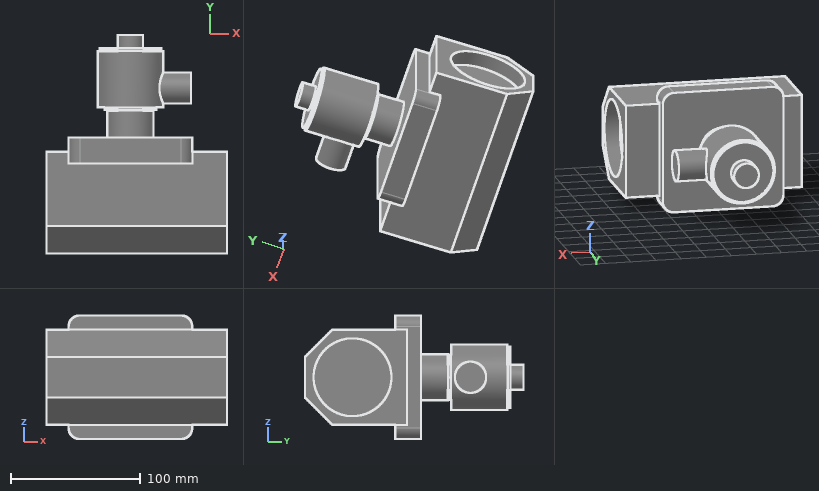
import cadquery as cq
import math

BLOCK_LENGTH = 140.0
BLOCK_DEPTH = 79.0
BLOCK_HEIGHT = 74.0
BLOCK_CHAMFER = 21.4
PORT_DIAMETER = 60.4
PORT_DEPTH = 12.0
PORT_Y = 37.0

ACTUATOR_X = -5.0
FLANGE_SIDE = 96.0
FLANGE_THICKNESS = 20.0
FLANGE_CORNER_RADIUS = 8.8
FLANGE_REAR_Y = 90.0

TOTAL_DEPTH = 169.5
NECK_DIAMETER = 36.0
NECK_REAR_Y = 110.9
STEM_DIAMETER = 19.7
CAP_DIAMETER = 48.0
CAP_THICKNESS = 1.7

END_GAP = 0.5
HEX_ACROSS_FLATS = 35.0
HEX_THICKNESS = 1.9
COIL_DIAMETER = 51.0
COIL_LENGTH = 43.7
CONNECTOR_DIAMETER = 24.2
CONNECTOR_REACH = 47.0
CONNECTOR_Y = 128.4

HEX_CORNER_DIAMETER = HEX_ACROSS_FLATS / math.cos(math.pi / 6)
HEX_FRONT_Y = NECK_REAR_Y + END_GAP
COIL_FRONT_Y = HEX_FRONT_Y + HEX_THICKNESS
COIL_REAR_Y = COIL_FRONT_Y + COIL_LENGTH
CAP_FRONT_Y = COIL_REAR_Y + END_GAP
CAP_REAR_Y = CAP_FRONT_Y + CAP_THICKNESS


def actuator_plane(y):
    """Plane across the actuator axis at y, with its normal along +Y."""
    return cq.Workplane(cq.Plane((ACTUATOR_X, y, 0), (1, 0, 0), (0, 1, 0)))


def cylinder_along_y(diameter, front_y, rear_y):
    return actuator_plane(front_y).circle(diameter / 2).extrude(rear_y - front_y)


def make_block():
    """Block with both long front edges chamfered and a blind port in each end."""
    block = (
        cq.Workplane("XY")
        .box(BLOCK_LENGTH, BLOCK_DEPTH, BLOCK_HEIGHT)
        .translate((0, BLOCK_DEPTH / 2, 0))
        .faces("<Y")
        .edges("|X")
        .chamfer(BLOCK_CHAMFER)
    )
    for end in (-1, 1):
        port = (
            cq.Workplane("YZ", origin=(end * BLOCK_LENGTH / 2, PORT_Y, 0))
            .circle(PORT_DIAMETER / 2)
            .extrude(-end * PORT_DEPTH)
        )
        block = block.cut(port)
    return block


def make_flange():
    return (
        actuator_plane(FLANGE_REAR_Y - FLANGE_THICKNESS)
        .rect(FLANGE_SIDE, FLANGE_SIDE)
        .extrude(FLANGE_THICKNESS)
        .edges("|Y")
        .fillet(FLANGE_CORNER_RADIUS)
    )


def make_valve_body():
    """Block, flange, neck, stem and cap in one piece; the stem's end is the knob."""
    neck = cylinder_along_y(NECK_DIAMETER, FLANGE_REAR_Y, NECK_REAR_Y)
    stem = cylinder_along_y(STEM_DIAMETER, NECK_REAR_Y, TOTAL_DEPTH)
    cap = cylinder_along_y(CAP_DIAMETER, CAP_FRONT_Y, CAP_REAR_Y)
    return make_block().union(make_flange()).union(neck).union(stem).union(cap)


def make_solenoid():
    """Hexagonal seat and coil with a side connector, bored to fit the stem."""
    seat = actuator_plane(HEX_FRONT_Y).polygon(6, HEX_CORNER_DIAMETER).extrude(HEX_THICKNESS)
    coil = cylinder_along_y(COIL_DIAMETER, COIL_FRONT_Y, COIL_REAR_Y)
    connector = (
        cq.Workplane("YZ", origin=(ACTUATOR_X, CONNECTOR_Y, 0))
        .circle(CONNECTOR_DIAMETER / 2)
        .extrude(CONNECTOR_REACH)
    )
    stem_hole = cylinder_along_y(STEM_DIAMETER, HEX_FRONT_Y, COIL_REAR_Y)
    return seat.union(coil).union(connector).cut(stem_hole)


valve_body = make_valve_body()
solenoid = make_solenoid()

result = cq.Compound.makeCompound([valve_body.val(), solenoid.val()])